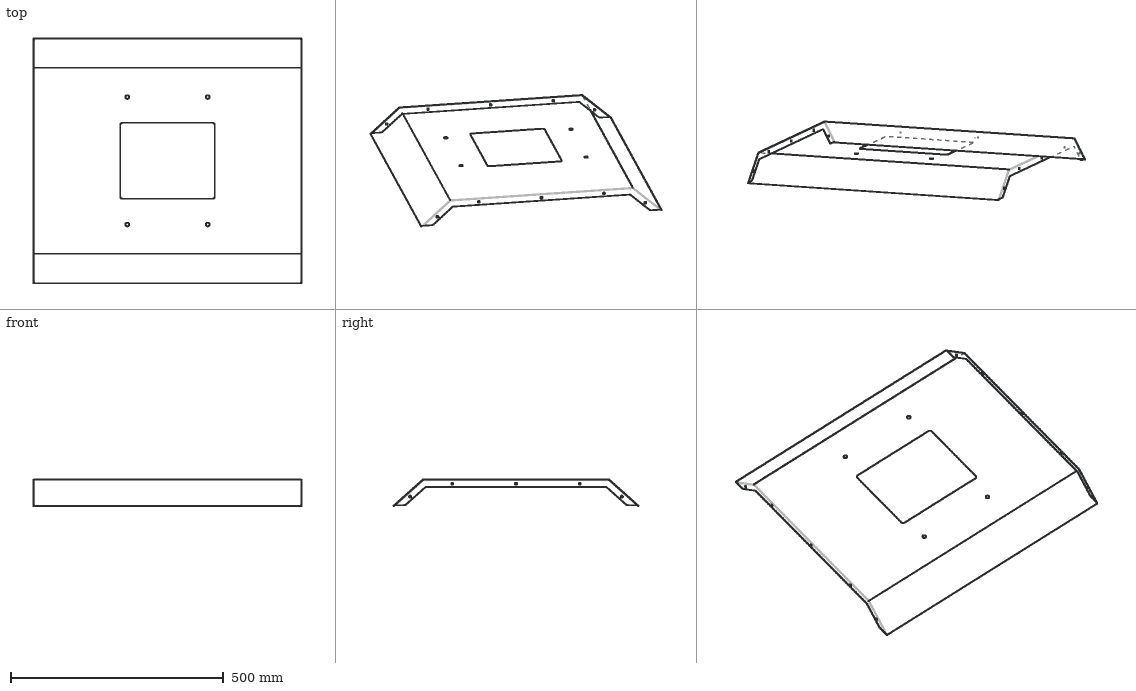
import cadquery as cq
import math

length = 631.0
width = 576.0

sheet = 1.0
bend_radius = 2.2
crease_y = 219.0
wing_angle = math.radians(41.8)
flange_depth = 17.5
flange_bottom = 2.0
flange_corner_radius = 9.5

window_length = 222.0
window_width = 178.0
window_corner_radius = 5.0
mount_hole_diameter = 8.0
mount_pitch_x = 189.0
mount_pitch_y = 299.5
flange_hole_diameter = 4.5
flange_hole_drop = 10.0
wing_hole_distance = 49.0

wing_length = (width / 2 - crease_y) / math.cos(wing_angle)
height = wing_length * math.sin(wing_angle) + sheet * math.cos(wing_angle)


def wing_point(depth, distance):
    """Point (y, z) `depth` inside the outer surface, `distance` down the wing from the crease."""
    y = crease_y + distance * math.cos(wing_angle) - depth * math.sin(wing_angle)
    z = height - distance * math.sin(wing_angle) - depth * math.cos(wing_angle)
    return y, z


def crease_point(depth):
    """Point (y, z) where the top and the wing meet, `depth` inside the outer surface."""
    return wing_point(depth, depth * math.tan(wing_angle / 2))


def symmetric_prism(right_half, x_length):
    """Outline mirrored about Y = 0 and extruded to both sides of X = 0."""
    left_half = [(-y, z) for y, z in reversed(right_half)]
    outline = cq.Workplane("YZ").polyline(right_half + left_half).close()
    return outline.extrude(x_length / 2, both=True)


def fillet_near(body, points, radius):
    """Round the edge closest to each of the given points."""
    nearest = cq.selectors.NearestToPointSelector
    edges = [body.edges(nearest(point)).val() for point in points]
    return cq.Workplane(body.val().fillet(radius, edges))


def bent_block(outer_depth, inner_depth, x_length, wing_reach, end_radius):
    """Band that follows the top and wings, with its upper X edges rounded."""
    band = symmetric_prism(
        [
            crease_point(outer_depth),
            wing_point(outer_depth, wing_reach),
            wing_point(inner_depth, wing_reach),
            crease_point(inner_depth),
        ],
        x_length,
    )
    y, z = crease_point(outer_depth)
    end_y, end_z = wing_point(outer_depth, wing_reach)
    middle_y, middle_z = (y + end_y) / 2, (z + end_z) / 2
    edge_points = [
        (side * x_length / 2, *middle)
        for side in (-1, 1)
        for middle in ((0, z), (-middle_y, middle_z), (middle_y, middle_z))
    ]
    return fillet_near(band, edge_points, end_radius)


def bent_sheet():
    """Plain sheet with wings and full flanges, hollow underneath."""
    outside = bent_block(0, flange_depth, length, wing_length, bend_radius)
    inside = bent_block(
        sheet, 2 * flange_depth, length - 2 * sheet, 2 * wing_length, bend_radius - sheet
    )
    return outside.cut(inside)


def trim_flange_ends(body):
    """Cut the flanges level near the wing tips and round the corner that leaves."""
    tip_y, tip_z = wing_point(sheet, wing_length)
    cut_start_y = tip_y - (flange_bottom - tip_z) / math.tan(wing_angle)
    inner_y, inner_z = crease_point(flange_depth)
    corner_y = inner_y + (inner_z - flange_bottom) / math.tan(wing_angle)
    below = -2 * flange_depth
    for side in (-1, 1):
        waste = (
            cq.Workplane("YZ")
            .polyline(
                [
                    (side * cut_start_y, flange_bottom),
                    (side * tip_y, tip_z),
                    (side * width, below),
                    (0, below),
                    (0, flange_bottom),
                ]
            )
            .close()
            .extrude(length, both=True)
        )
        body = body.cut(waste)
    corners = [
        (end * (length - sheet) / 2, side * corner_y, flange_bottom)
        for end in (-1, 1)
        for side in (-1, 1)
    ]
    return fillet_near(body, corners, flange_corner_radius)


def cut_top_openings(body):
    """Central window and the four mounting holes around it."""
    window = (
        cq.Workplane("XY")
        .rect(window_length, window_width)
        .extrude(2 * height)
        .edges("|Z")
        .fillet(window_corner_radius)
    )
    holes = (
        cq.Workplane("XY")
        .rect(mount_pitch_x, mount_pitch_y, forConstruction=True)
        .vertices()
        .circle(mount_hole_diameter / 2)
        .extrude(2 * height)
    )
    return body.cut(window).cut(holes)


def cut_flange_holes(body):
    """Five holes through each flange: three below the top and one below each wing."""
    wing_y, wing_z = wing_point(flange_hole_drop, wing_hole_distance)
    top_z = height - flange_hole_drop
    centres = [(y, top_z) for y in (-mount_pitch_y / 2, 0, mount_pitch_y / 2)]
    centres += [(-wing_y, wing_z), (wing_y, wing_z)]
    holes = (
        cq.Workplane("YZ")
        .pushPoints(centres)
        .circle(flange_hole_diameter / 2)
        .extrude(length, both=True)
    )
    return body.cut(holes)


result = cut_flange_holes(cut_top_openings(trim_flange_ends(bent_sheet())))